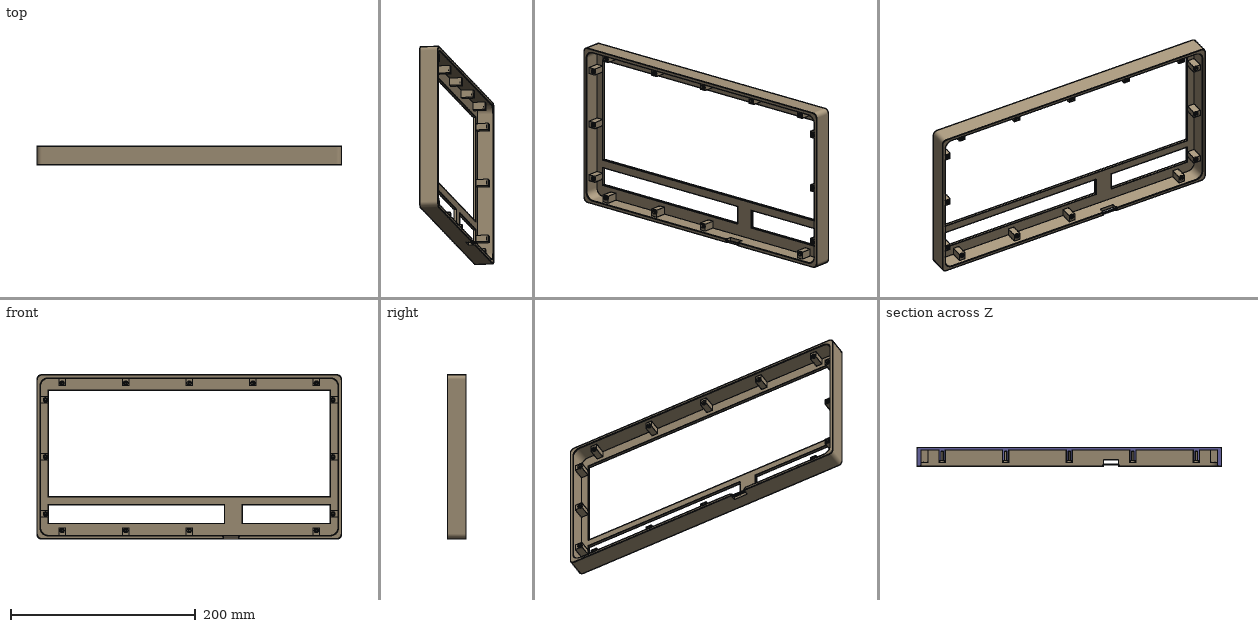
import cadquery as cq

LENGTH = 329.8
DEPTH = 20.5
HEIGHT = 177.8
CORNER_RADIUS = 5.3
EDGE_CHAMFER = 0.45
INNER_CHAMFER = 0.6
RIM_WIDTH = 3.0
WALL = EDGE_CHAMFER + RIM_WIDTH + INNER_CHAMFER
INNER_RADIUS = 8.2
PLATE = 3.0

WINDOW_HALF_LENGTH = 152.5
WINDOW_HALF_HEIGHT = 72.0
MAIN_WINDOW_BOTTOM = -43.0
LOWER_WINDOW_TOP = -52.0
POST_LEFT = 38.0
POST_RIGHT = 57.5
WINDOW_BEVEL = 0.3
BEVEL_ANGLE = 45

BOSS_WIDTH = 7.0
BOSS_HEIGHT = 8.0
BOSS_RECESS = 4.3
BOSS_ROW_LENGTH = 275.0
BOSS_PITCH_X = BOSS_ROW_LENGTH / 4
BOSS_PITCH_Z = 61.7
HOLE_FROM_TIP = 2.8
HOLE_DIAMETER = 2.08
COUNTERBORE_DIAMETER = 4.5
COUNTERBORE_DEPTH = 2.0
HOLE_DEPTH = 12.0

NOTCH_CENTER = 45.2
NOTCH_WIDTH = 15.8
NOTCH_DEPTH = 1.5
NOTCH_FLARE = 1.3
NOTCH_BAR_HEIGHT = 2.0
SLOT_START = 2.3
SLOT_END = 7.0

FRONT = -DEPTH / 2
BACK = DEPTH / 2
PLATE_FACE = BACK - PLATE
INNER_HALF_LENGTH = LENGTH / 2 - WALL
INNER_HALF_HEIGHT = HEIGHT / 2 - WALL


def block(x_range, y_range, z_range):
    """Box spanning the given (low, high) ranges."""
    size = [high - low for low, high in (x_range, y_range, z_range)]
    corner = (x_range[0], y_range[0], z_range[0])
    return cq.Workplane("XY").box(*size, centered=False).translate(corner)


def cylinder(x, z, diameter, y_start, depth):
    """Cylinder running along +Y from y_start."""
    return cq.Workplane("XZ", origin=(x, y_start, z)).circle(diameter / 2).extrude(-depth)


def make_tray():
    outer = cq.Workplane("XY").box(LENGTH, DEPTH, HEIGHT).edges("|Y").fillet(CORNER_RADIUS)
    outer = outer.faces("<Y or >Y").edges().chamfer(EDGE_CHAMFER)
    cavity = block(
        (-INNER_HALF_LENGTH, INNER_HALF_LENGTH),
        (FRONT, PLATE_FACE),
        (-INNER_HALF_HEIGHT, INNER_HALF_HEIGHT),
    ).edges("|Y").fillet(INNER_RADIUS)
    tray = outer.cut(cavity)
    return tray.faces("<Y").wires(cq.selectors.AreaNthSelector(0)).chamfer(INNER_CHAMFER)


def window(x_range, z_range):
    """Opening through the plate with a bevelled rim on the tray side."""
    center_x = sum(x_range) / 2
    center_z = sum(z_range) / 2
    rim_length = x_range[1] - x_range[0] + 2 * WINDOW_BEVEL
    rim_height = z_range[1] - z_range[0] + 2 * WINDOW_BEVEL
    rim = cq.Workplane("XZ", origin=(center_x, PLATE_FACE, center_z)).rect(rim_length, rim_height)
    rim = rim.extrude(-WINDOW_BEVEL, taper=BEVEL_ANGLE)
    return block(x_range, (PLATE_FACE, BACK), z_range).union(rim)


def make_windows():
    lower_z = (-WINDOW_HALF_HEIGHT, LOWER_WINDOW_TOP)
    main = window((-WINDOW_HALF_LENGTH, WINDOW_HALF_LENGTH), (MAIN_WINDOW_BOTTOM, WINDOW_HALF_HEIGHT))
    left = window((-WINDOW_HALF_LENGTH, POST_LEFT), lower_z)
    right = window((POST_RIGHT, WINDOW_HALF_LENGTH), lower_z)
    return main.union(left).union(right)


def boss_places():
    """Wall contact point (x, z), inward direction (x, z) and reach of every boss."""
    places = []
    for step in (-2, -1, 0, 1, 2):
        places.append((step * BOSS_PITCH_X, INNER_HALF_HEIGHT, 0, -1, BOSS_HEIGHT))
    for step in (-2, -1, 0, 2):
        places.append((step * BOSS_PITCH_X, -INNER_HALF_HEIGHT, 0, 1, BOSS_HEIGHT))
    side_reach = INNER_HALF_LENGTH - WINDOW_HALF_LENGTH - WINDOW_BEVEL
    for side in (-1, 1):
        for step in (-1, 0, 1):
            places.append((side * INNER_HALF_LENGTH, step * BOSS_PITCH_Z, -side, 0, side_reach))
    return places


def add_boss(body, x, z, inward_x, inward_z, reach):
    half = BOSS_WIDTH / 2
    boss_front = FRONT + BOSS_RECESS
    if inward_x:
        x_range = sorted((x, x + inward_x * reach))
        z_range = (z - half, z + half)
    else:
        x_range = (x - half, x + half)
        z_range = sorted((z, z + inward_z * reach))
    hole_x = x + inward_x * (reach - HOLE_FROM_TIP)
    hole_z = z + inward_z * (reach - HOLE_FROM_TIP)
    body = body.union(block(x_range, (boss_front, PLATE_FACE), z_range))
    body = body.cut(cylinder(hole_x, hole_z, COUNTERBORE_DIAMETER, boss_front, COUNTERBORE_DEPTH))
    return body.cut(cylinder(hole_x, hole_z, HOLE_DIAMETER, boss_front, HOLE_DEPTH))


def make_notch():
    """Stepped recess in the bottom rim, and a slot through the wall behind a lowered bar."""
    half = NOTCH_WIDTH / 2
    x_range = (NOTCH_CENTER - half, NOTCH_CENTER + half)
    flare_range = (NOTCH_CENTER - half - NOTCH_FLARE, NOTCH_CENTER + half + NOTCH_FLARE)
    bottom = -HEIGHT / 2
    bar_top = bottom + NOTCH_BAR_HEIGHT
    recess = block(x_range, (FRONT, FRONT + NOTCH_DEPTH), (bottom, bar_top))
    flare = block(flare_range, (FRONT, FRONT + NOTCH_DEPTH), (bar_top, -INNER_HALF_HEIGHT))
    bar_clearance = block(x_range, (FRONT, FRONT + SLOT_END), (bar_top, -INNER_HALF_HEIGHT))
    slot = block(x_range, (FRONT + SLOT_START, FRONT + SLOT_END), (bottom, -INNER_HALF_HEIGHT))
    return recess.union(flare).union(bar_clearance).union(slot)


result = make_tray().cut(make_windows())
for place in boss_places():
    result = add_boss(result, *place)
result = result.cut(make_notch())